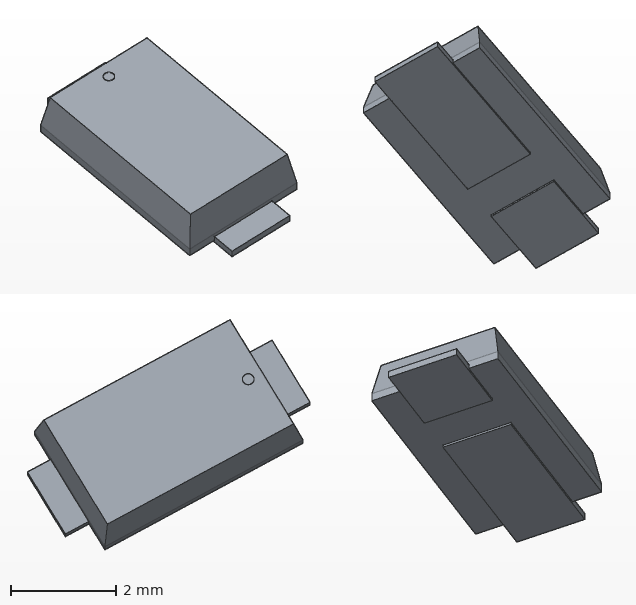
import cadquery as cq

body_length = 4.34
body_width = 2.69
standoff = 0.05
band_top = 0.23
body_top = 0.99
taper_inset = 0.13

overall_length = 5.36
lead_width = 1.45
lead_thickness = 0.15
short_lead_length = 1.49
long_lead_length = 3.09

mark_diameter = 0.22
mark_depth = 0.02
mark_x = -1.74


def make_lead(length, side):
    """Flat lead whose outer end is at the -X (side = -1) or +X (side = 1) extreme."""
    center_x = side * (overall_length - length) / 2
    return (
        cq.Workplane("XY")
        .center(center_x, 0)
        .rect(length, lead_width)
        .extrude(lead_thickness)
    )


def make_mark():
    """Thin disc with its upper face level with the package top."""
    return (
        cq.Workplane("XY", origin=(mark_x, 0, body_top - mark_depth))
        .circle(mark_diameter / 2)
        .extrude(mark_depth)
    )


def make_package(inserts):
    """Package block with a matching recess for each inserted body."""
    band = (
        cq.Workplane("XY", origin=(0, 0, standoff))
        .rect(body_length, body_width)
        .extrude(band_top - standoff)
    )
    tapered_block = (
        cq.Workplane("XY", origin=(0, 0, band_top))
        .rect(body_length, body_width)
        .workplane(offset=body_top - band_top)
        .rect(body_length - 2 * taper_inset, body_width - 2 * taper_inset)
        .loft(ruled=True)
    )
    package = band.union(tapered_block)
    for insert in inserts:
        package = package.cut(insert)
    return package.solids()


short_lead = make_lead(short_lead_length, -1)
long_lead = make_lead(long_lead_length, 1)
mark = make_mark()
package = make_package([short_lead, long_lead, mark])

result = cq.Compound.makeCompound(
    [package.val(), short_lead.val(), long_lead.val(), mark.val()]
)